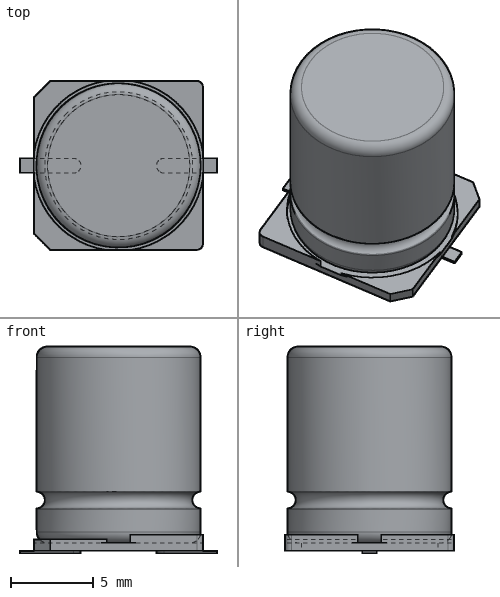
import cadquery as cq

terminal_span = 12.0
terminal_width = 0.9
terminal_thickness = 0.15
terminal_inner_end = 2.3

base_width = 10.3
base_bottom = terminal_thickness
floor_level = 0.65
low_corner_level = 0.85
high_corner_level = 1.15
corner_chamfer = 1.0
corner_radius = 0.4
seat_radius = 5.2

can_radius = 5.0
can_top = 12.6
can_edge_radius = 0.67
groove_center = 3.25
groove_radius = 0.5
groove_diameter = 2 * groove_radius
lip_radius = 0.05


def make_base():
    block = (
        cq.Workplane("XY")
        .workplane(offset=base_bottom)
        .rect(base_width, base_width)
        .extrude(high_corner_level - base_bottom)
        .edges("|Z and <X").chamfer(corner_chamfer)
        .edges("|Z and >X").fillet(corner_radius)
    )
    low_half = (
        cq.Workplane("XY")
        .workplane(offset=low_corner_level)
        .center(-base_width / 2, 0)
        .rect(base_width, base_width)
        .extrude(high_corner_level - low_corner_level)
    )
    seat = (
        cq.Workplane("XY")
        .workplane(offset=floor_level)
        .circle(seat_radius)
        .extrude(high_corner_level - floor_level)
    )
    return block.cut(low_half).cut(seat)


def make_can():
    body = (
        cq.Workplane("XY")
        .workplane(offset=floor_level)
        .circle(can_radius)
        .extrude(can_top - floor_level)
        .faces("<Z or >Z").edges().fillet(can_edge_radius)
    )
    groove = cq.Workplane(cq.Solid.makeTorus(can_radius, groove_radius, cq.Vector(0, 0, groove_center)))
    lips = cq.selectors.BoxSelector(
        (-groove_radius, -groove_radius, groove_center - groove_diameter),
        (groove_radius, groove_radius, groove_center + groove_diameter),
    )
    return body.cut(groove).edges(lips).fillet(lip_radius)


def make_terminal(side):
    """Flat lead with a semicircular inner tip; side is +1 or -1 along X."""
    half_width = terminal_width / 2
    outer_x = side * terminal_span / 2
    tip_x = side * terminal_inner_end
    tip_start_x = side * (terminal_inner_end + half_width)
    return (
        cq.Workplane("XY")
        .moveTo(outer_x, -half_width)
        .lineTo(tip_start_x, -half_width)
        .threePointArc((tip_x, 0), (tip_start_x, half_width))
        .lineTo(outer_x, half_width)
        .close()
        .extrude(terminal_thickness)
    )


result = make_base().union(make_can())
for side in (-1, 1):
    result = result.union(make_terminal(side))